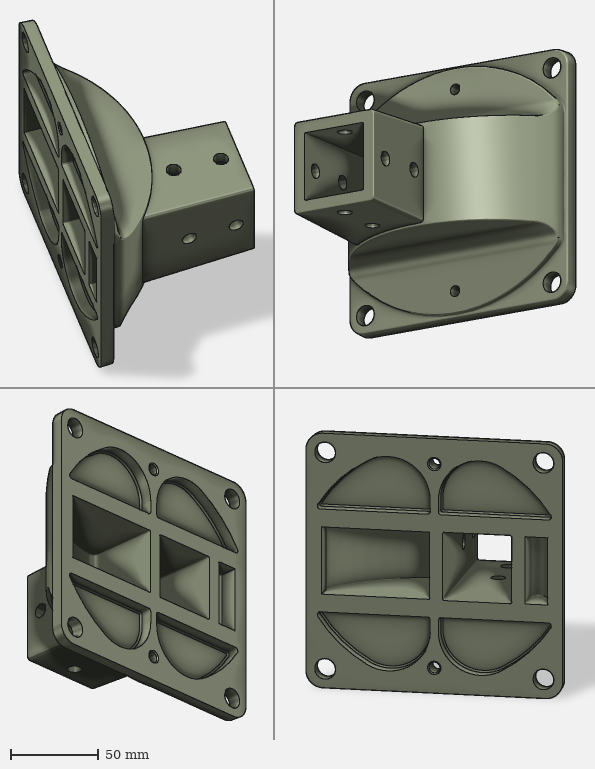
import cadquery as cq
import math

total_depth = 100.0
draft = 2.0
draft_slope = math.tan(math.radians(draft))

plate_size = 150.0
plate_thick = 8.0
plate_corner_radius = 10.0
plate_edge_radius = 1.0
bolt_spacing = 127.5
bolt_hole_radius = 6.0
pilot_spacing = 120.0
pilot_radius = 3.2
pilot_chamfer = 0.8
pilot_chamfer_angle = 45.0

pocket_inner_x = 2.4
pocket_bottom_z = 30.3
pocket_depth = 8.0
pocket_corner_radius = 1.8
pocket_floor_chamfer = 1.0
apex_radius = 24.6
apex_x = pocket_inner_x + apex_radius
apex_z = 38.5
flank_center_z = -11.0
flank_angle = math.atan2(apex_z - flank_center_z, apex_x)
flank_radius = math.hypot(apex_x, apex_z - flank_center_z) + apex_radius

pad_top_z = 72.9
pad_arch_radius = 96.0
pad_half_width = 72.5
pad_edge_y = 11.1
pad_slope_angle = 2.5
pad_slope = math.tan(math.radians(pad_slope_angle))
pad_corner_radius = 11.5
pad_root_radius = 0.8

dome_height = 50.8
dome_radius = 87.8
dome_center_y = dome_height - dome_radius
dome_foot_radius = 12.8
dome_half_height = 30.9
web_radius = 12.0
back_edge_radius = 1.0

socket_x = 25.0
socket_size = 54.6
socket_corner_radius = 2.5
socket_end_radius = 0.8
socket_root_y = 22.5
bore_size = 40.2
bore_corner_radius = 1.0
cross_hole_radius = 4.2
cross_hole_depths = (60.2, 88.6)

hollow_height = 39.6
hollow_spans = ((-65.7, -2.7), (53.0, 66.2))
dome_wall = 6.8
crease_radius = 4.2
hollow_floor_radius = 0.6

across_length = 2 * plate_size

pick_margin = 0.2


def face_plane(y=0.0):
    """Workplane parallel to the mounting face, with local axes -X and Z, that extrudes towards +Y."""
    return cq.Workplane(cq.Plane(origin=(0, y, 0), xDir=(-1, 0, 0), normal=(0, 1, 0)))


def depth_range(y_min, y_max):
    """Selector for edges whose middle lies between two depths."""
    return cq.selectors.BoxSelector((-plate_size, y_min, -plate_size), (plate_size, y_max, plate_size))


def across_x():
    """Workplane of Y and Z beyond the -X side of the plate, for extruding right across it."""
    return cq.Workplane("YZ", origin=(-plate_size, 0, 0))


def across_z():
    """Workplane of X and Y below the plate, for extruding right across it."""
    return cq.Workplane("XY", origin=(0, 0, -plate_size))


def on_flank(angle):
    """Point on the flank arc of the upper pocket on the -X side, in face_plane axes."""
    return (flank_radius * math.cos(angle), flank_center_z + flank_radius * math.sin(angle))


def on_apex(angle):
    """Point on the apex arc of the same pocket, in face_plane axes."""
    return (apex_x + apex_radius * math.cos(angle), apex_z + apex_radius * math.sin(angle))


def four_quarters(quarter):
    """Repeat a solid in all four quarters of the plate."""
    half = quarter.union(quarter.mirror("YZ"))
    return half.union(half.mirror("XY")).clean()


def make_plate():
    """Drafted square plate with rounded corners and a rounded back edge."""
    plate = face_plane().rect(plate_size, plate_size).extrude(plate_thick, taper=draft)
    corners = depth_range(pick_margin, plate_thick - pick_margin)
    plate = plate.edges(corners).fillet(plate_corner_radius)
    return plate.faces(">Y").edges().fillet(plate_edge_radius)


def pad_prism():
    """Outline of the pad: straight sides, arched top and bottom, rounded corners."""
    corner_z = pad_top_z - pad_arch_radius + math.sqrt(pad_arch_radius**2 - pad_half_width**2)
    prism = (
        face_plane()
        .moveTo(-pad_half_width, -corner_z)
        .lineTo(-pad_half_width, corner_z)
        .threePointArc((0, pad_top_z), (pad_half_width, corner_z))
        .lineTo(pad_half_width, -corner_z)
        .threePointArc((0, -pad_top_z), (-pad_half_width, -corner_z))
        .close()
        .extrude(total_depth)
    )
    return prism.edges("|Y").fillet(pad_corner_radius)


def side_prism():
    """Sloping pad back, concave web and drafted dome sides, swept along X."""
    base_half = dome_half_height + draft_slope * dome_height
    meet_y = (pad_edge_y + (pad_top_z - base_half) * pad_slope) / (1 - draft_slope * pad_slope)
    meet_z = base_half - draft_slope * meet_y
    upper = (
        across_x()
        .lineTo(0, pad_top_z)
        .lineTo(pad_edge_y, pad_top_z)
        .lineTo(meet_y, meet_z)
        .lineTo(dome_height, dome_half_height)
        .lineTo(dome_height, 0)
        .close()
        .extrude(across_length)
    )
    inner_corner = cq.selectors.NearestToPointSelector((0, meet_y, meet_z))
    upper = upper.edges(inner_corner).fillet(web_radius)
    return upper.union(upper.mirror("XY")).clean()


def dome_prism():
    """Domed outline with rounded feet, swept along Z."""
    foot_y = dome_center_y + math.sqrt(dome_radius**2 - pad_half_width**2)
    prism = (
        across_z()
        .moveTo(-pad_half_width, 0)
        .lineTo(-pad_half_width, foot_y)
        .threePointArc((0, dome_height), (pad_half_width, foot_y))
        .lineTo(pad_half_width, 0)
        .close()
        .extrude(across_length)
    )
    return prism.edges("|Z and (not <Y)").fillet(dome_foot_radius)


def make_back():
    """Pad and dome in one piece, with every outer edge behind the plate rounded."""
    back = pad_prism().intersect(side_prism()).intersect(dome_prism())
    outer_edges = depth_range(plate_thick + pick_margin, total_depth)
    return back.edges(outer_edges).fillet(back_edge_radius)


def make_socket():
    """Drafted square post, rooted inside the dome."""
    length = total_depth - socket_root_y
    root_size = socket_size + 2 * draft_slope * length
    socket = face_plane(socket_root_y).rect(root_size, root_size).extrude(length, taper=draft)
    sides = depth_range(socket_root_y + pick_margin, total_depth - pick_margin)
    socket = socket.edges(sides).fillet(socket_corner_radius)
    socket = socket.faces(">Y").edges().fillet(socket_end_radius)
    return socket.translate((socket_x, 0, 0))


def make_bore():
    """Square passage from the mounting face to the socket mouth."""
    bore = face_plane().rect(bore_size, bore_size).extrude(total_depth)
    return bore.edges("|Y").fillet(bore_corner_radius).translate((socket_x, 0, 0))


def make_pocket():
    """Upper pocket on the -X side, with rounded lower corners and a bevelled floor."""
    corner_angle = math.asin((pocket_bottom_z - flank_center_z) / flank_radius)
    pocket = (
        face_plane()
        .moveTo(pocket_inner_x, pocket_bottom_z)
        .lineTo(*on_flank(corner_angle))
        .threePointArc(
            on_flank((corner_angle + flank_angle) / 2),
            on_flank(flank_angle),
        )
        .threePointArc(
            on_apex((flank_angle + math.pi) / 2),
            (pocket_inner_x, apex_z),
        )
        .close()
        .extrude(pocket_depth)
        .edges("|Y and <Z")
        .fillet(pocket_corner_radius)
    )
    return pocket.faces(">Y").edges().chamfer(pocket_floor_chamfer)


def make_hollow(left, right):
    """Drafted cavity under the dome at a constant wall, rounded where its deepest wall meets the floor."""
    floor_radius = dome_radius - dome_wall

    def floor_point(x):
        return (x, dome_center_y + math.sqrt(floor_radius**2 - x**2))

    middle = (left + right) / 2
    deepest = min(left, right, key=abs)
    drafted = face_plane().rect(right - left, hollow_height).extrude(dome_height, taper=draft)
    under_dome = (
        across_z()
        .moveTo(left, 0)
        .lineTo(*floor_point(left))
        .threePointArc(floor_point(middle), floor_point(right))
        .lineTo(right, 0)
        .close()
        .extrude(across_length)
    )
    hollow = drafted.translate((middle, 0, 0)).intersect(under_dome)
    crease = cq.selectors.NearestToPointSelector((*floor_point(deepest), 0))
    hollow = hollow.edges(crease).fillet(crease_radius)
    return hollow.edges("%ELLIPSE").fillet(hollow_floor_radius)


def make_bolt_holes():
    """Through holes near the four plate corners."""
    corners = face_plane().rect(bolt_spacing, bolt_spacing, forConstruction=True).vertices()
    return corners.circle(bolt_hole_radius).extrude(total_depth)


def make_pilot_holes():
    """Holes above and below the dome, chamfered at the mounting face."""
    chamfer_radius = pilot_radius + pilot_chamfer
    positions = [(0, -pilot_spacing / 2), (0, pilot_spacing / 2)]
    holes = face_plane().pushPoints(positions).circle(pilot_radius).extrude(total_depth)
    mouths = face_plane().pushPoints(positions).circle(chamfer_radius)
    cones = mouths.extrude(pilot_chamfer, taper=pilot_chamfer_angle)
    return holes.union(cones)


def make_cross_holes():
    """Pairs of pin holes through the socket, in both directions across it."""
    vertical_spots = [(socket_x, y) for y in cross_hole_depths]
    sideways_spots = [(y, 0) for y in cross_hole_depths]
    vertical = across_z().pushPoints(vertical_spots).circle(cross_hole_radius)
    sideways = across_x().pushPoints(sideways_spots).circle(cross_hole_radius)
    return vertical.extrude(across_length).union(sideways.extrude(across_length))


def round_pad_root(body):
    """Fillet the inner corner where the pad rises from the flat of the plate."""
    reach_x = pad_half_width + pick_margin
    reach_z = plate_size / 2 - plate_corner_radius
    root = cq.selectors.BoxSelector(
        (-reach_x, plate_thick - pick_margin, -reach_z),
        (reach_x, plate_thick + pick_margin, reach_z),
    )
    return body.edges(root).fillet(pad_root_radius)


result = make_plate().union(make_back())
result = round_pad_root(result)
result = result.union(make_socket())
result = result.cut(make_bore())
for hollow_left, hollow_right in hollow_spans:
    result = result.cut(make_hollow(hollow_left, hollow_right))
result = result.cut(four_quarters(make_pocket()))
result = result.cut(make_bolt_holes()).cut(make_pilot_holes()).cut(make_cross_holes())